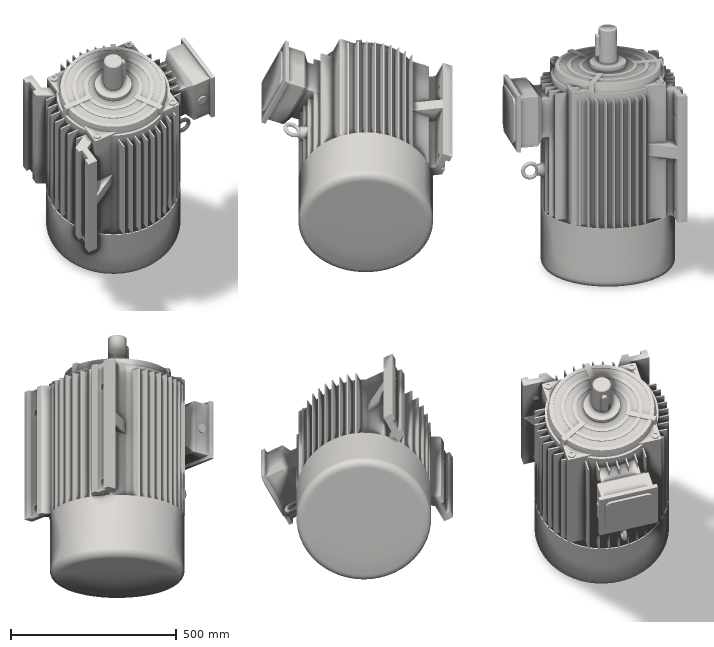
import cadquery as cq
import math


cowl_top = 195.0
fin_top = 604.5
barrel_top = 622.0
corner_top = 628.0
shield_top = 648.0
rib_top = 651.0
collar_top = 661.0
shaft_top = 770.0

cowl_radius = 204.0
cowl_wall = 3.0
cowl_round = 22.0

barrel_radius = 172.5
square_half = 147.0
corner_round = 3.0

fin_thickness = 4.0
side_fin_pitch = 25.0
side_fin_steps = range(-3, 6)
front_fin_pitch = 30.0
front_fin_steps = range(-3, 4)

shield_top_radius = 159.5
shield_base_radius = 165.5
ring_outer_radii = (88.5, 124.0, shield_top_radius)
ring_width = 11.5
ring_height = 3.0
rib_width = 17.0
rib_top_reach = 169.0
rib_angles = (30, 150, 270)

bolt_offset = 132.0
bolt_radius = 11.5
bolt_height = 6.0
bolt_socket_radius = 6.0
bolt_socket_depth = 4.0

collar_radius = 55.5
shaft_radius = 28.0
shaft_chamfer = 2.0
key_width = 17.0
key_height = 11.0
key_bottom = 678.0
key_top = 751.5

leg_angle = 59
foot_outer_x = 198.0
foot_inner_x = 119.0
foot_bottom_y = -201.0
foot_thickness = 30.0
leg_start_x = 138.5
foot_slot_inner_x = 139.0
foot_slot_outer_x = 176.0
foot_slot_depth = 11.5
foot_hole_radius = 10.0
foot_hole_x = 159.0
foot_hole_heights = (222.5, 527.5)
gusset_bottom = 402.0
gusset_top = 440.0
gusset_end_y = -88.5

box_center_z = 517.0
neck_width = 123.0
neck_end_y = 218.0
taper_length = 18.5
box_width = 163.0
box_length = 55.0
box_edge_round = 1.5
flange_width = 183.0
flange_thickness = 12.0
lid_width = 146.0
lid_thickness = 7.0
lid_corner_round = 18.5
plug_radius = 15.0
plug_length = 5.0

eye_center_y = 242.0
eye_center_z = 326.5
eye_ring_radius = 22.0
eye_wire_radius = 6.0
eye_base_radius = 22.0
eye_neck_radius = 16.0
eye_base_y = 203.0
eye_neck_y = 221.0


def cylinder(radius, bottom, top):
    return cq.Workplane("XY").workplane(offset=bottom).circle(radius).extrude(top - bottom)


def prism(points, bottom, top):
    return cq.Workplane("XY").workplane(offset=bottom).polyline(points).close().extrude(top - bottom)


def toward_y(start_y, height):
    """Workplane at start_y whose normal is +Y, centred on the Z axis at the given height."""
    return cq.Workplane(cq.Plane(origin=(0, start_y, height), xDir=(1, 0, 0), normal=(0, 1, 0)))


def make_cowl():
    """Thin cup, open at the top, with a rounded bottom edge inside and out."""
    outside = cylinder(cowl_radius, 0, cowl_top).faces("<Z").edges().fillet(cowl_round)
    hollow = cylinder(cowl_radius - cowl_wall, cowl_wall, cowl_top)
    hollow = hollow.faces("<Z").edges().fillet(cowl_round - cowl_wall)
    return outside.cut(hollow)


def make_barrel():
    """Round core standing on the cowl floor, with square corners above the cowl."""
    core = cylinder(barrel_radius, cowl_wall, barrel_top)
    corners = (
        cq.Workplane("XY").workplane(offset=cowl_top)
        .rect(2 * square_half, 2 * square_half)
        .extrude(corner_top - cowl_top)
        .edges("|Z").fillet(corner_round)
    )
    return core.union(corners)


def make_fins():
    """Plates across the whole frame, trimmed to the cowl radius; they rest on the cowl rim."""
    span = 2 * cowl_radius
    height = fin_top - cowl_top
    base = cq.Workplane("XY").workplane(offset=cowl_top)
    fins = cq.Workplane()
    for step in side_fin_steps:
        middle = step * side_fin_pitch + fin_thickness / 2
        fins = fins.add(base.center(0, middle).rect(span, fin_thickness).extrude(height))
    for step in front_fin_steps:
        middle = step * front_fin_pitch + fin_thickness / 2
        fins = fins.add(base.center(middle, 0).rect(fin_thickness, span).extrude(height))
    return fins.combine().intersect(cylinder(cowl_radius, cowl_top, fin_top))


def make_shield():
    """Slightly conical end shield with raised rings and three radial ribs."""
    ring_base = shield_top - ring_height
    shield = (
        cq.Workplane("XY").workplane(offset=barrel_top).circle(shield_base_radius)
        .workplane(offset=shield_top - barrel_top).circle(shield_top_radius)
        .loft(ruled=True)
    )
    shield = shield.cut(cylinder(shield_top_radius, ring_base, shield_top))
    for outer in ring_outer_radii:
        ring = (
            cq.Workplane("XY").workplane(offset=ring_base)
            .circle(outer).circle(outer - ring_width).extrude(ring_height)
        )
        shield = shield.union(ring)
    rib_start = ring_outer_radii[0] - ring_width
    rib_profile = [
        (rib_start, barrel_top),
        (barrel_radius, barrel_top),
        (rib_top_reach, rib_top),
        (rib_start, rib_top),
    ]
    rib = cq.Workplane("XZ").polyline(rib_profile).close().extrude(rib_width / 2, both=True)
    for angle in rib_angles:
        shield = shield.union(rib.rotate((0, 0, 0), (0, 0, 1), angle))
    return shield


def make_bolt(x, y):
    head = cylinder(bolt_radius, corner_top, corner_top + bolt_height)
    head = head.faces(">Z").workplane().circle(bolt_socket_radius).cutBlind(-bolt_socket_depth)
    return head.translate((x, y, 0))


def make_shaft():
    collar = cylinder(collar_radius, barrel_top, collar_top)
    shaft = cylinder(shaft_radius, barrel_top, shaft_top).faces(">Z").edges().chamfer(shaft_chamfer)
    return collar.union(shaft)


def make_foot():
    """Foot on the +X side: slotted pad, sloping leg, and a short gusset out to the pad's edge."""
    pad_top_y = foot_bottom_y + foot_thickness
    slot_top_y = foot_bottom_y + foot_slot_depth
    leg_end_y = -square_half

    def sloped_x(start_x, start_y, end_y):
        return start_x - (end_y - start_y) / math.tan(math.radians(leg_angle))

    leg_outer_x = sloped_x(leg_start_x, pad_top_y, leg_end_y)
    outline = [
        (foot_outer_x, foot_bottom_y),
        (foot_outer_x, pad_top_y),
        (leg_start_x, pad_top_y),
        (leg_outer_x, leg_end_y),
        (sloped_x(foot_inner_x, foot_bottom_y, leg_end_y), leg_end_y),
        (foot_inner_x, foot_bottom_y),
        (foot_slot_inner_x, foot_bottom_y),
        (foot_slot_inner_x, slot_top_y),
        (foot_slot_outer_x, slot_top_y),
        (foot_slot_outer_x, foot_bottom_y),
    ]
    foot = prism(outline, cowl_top, fin_top)
    for height in foot_hole_heights:
        hole = toward_y(foot_bottom_y, height).center(foot_hole_x, 0).circle(foot_hole_radius)
        foot = foot.cut(hole.extrude(foot_thickness))
    gusset_outline = [
        (foot_outer_x, pad_top_y),
        (sloped_x(foot_outer_x, pad_top_y, gusset_end_y), gusset_end_y),
        (leg_outer_x, leg_end_y),
        (leg_start_x, pad_top_y),
    ]
    return foot.union(prism(gusset_outline, gusset_bottom, gusset_top))


def make_terminal_box():
    taper_end_y = neck_end_y + taper_length
    flange_y = taper_end_y + box_length
    lid_y = flange_y + flange_thickness

    neck = toward_y(0, box_center_z).rect(neck_width, neck_width).extrude(neck_end_y)
    taper = (
        toward_y(neck_end_y, box_center_z).rect(neck_width, neck_width)
        .workplane(offset=taper_length).rect(box_width, box_width)
        .loft(ruled=True)
    )
    box = toward_y(taper_end_y, box_center_z).rect(box_width, box_width).extrude(box_length)
    box = box.edges("|Y").fillet(box_edge_round)
    flange = toward_y(flange_y, box_center_z).rect(flange_width, flange_width).extrude(flange_thickness)
    lid = toward_y(lid_y, box_center_z).rect(lid_width, lid_width).extrude(lid_thickness)
    lid = lid.edges("|Y").fillet(lid_corner_round)
    plug = (
        cq.Workplane("YZ").workplane(offset=box_width / 2)
        .center(taper_end_y + box_length / 2, box_center_z)
        .circle(plug_radius).extrude(plug_length)
    )
    return neck.union(taper).union(box).union(flange).union(lid).union(plug)


def make_lifting_eye():
    """Ring in the YZ plane on a conical neck rising from the barrel."""
    ring = cq.Workplane(cq.Solid.makeTorus(
        eye_ring_radius, eye_wire_radius,
        cq.Vector(0, eye_center_y, eye_center_z), cq.Vector(1, 0, 0)))
    stem = toward_y(0, eye_center_z).circle(eye_base_radius).extrude(eye_base_y)
    neck = (
        toward_y(eye_base_y, eye_center_z).circle(eye_base_radius)
        .workplane(offset=eye_neck_y - eye_base_y).circle(eye_neck_radius)
        .loft(ruled=True)
    )
    return stem.union(neck).union(ring)


def make_motor():
    """Frame, end shield, shaft, feet, terminal box and lifting eye as one solid."""
    motor = make_barrel().union(make_fins()).union(make_shield()).union(make_shaft())
    for x in (-bolt_offset, bolt_offset):
        for y in (-bolt_offset, bolt_offset):
            motor = motor.union(make_bolt(x, y))
    foot = make_foot()
    motor = motor.union(foot).union(foot.mirror("YZ"))
    return motor.union(make_terminal_box()).union(make_lifting_eye())


def make_key():
    """Round-ended key lying along the +Y side of the shaft."""
    length = key_top - key_bottom
    return toward_y(shaft_radius, key_bottom + length / 2).slot2D(length, key_width, 90).extrude(key_height)


motor = make_motor()
cowl = make_cowl()
key = make_key()

result = cq.Compound.makeCompound([motor.solids().val(), cowl.solids().val(), key.val()])